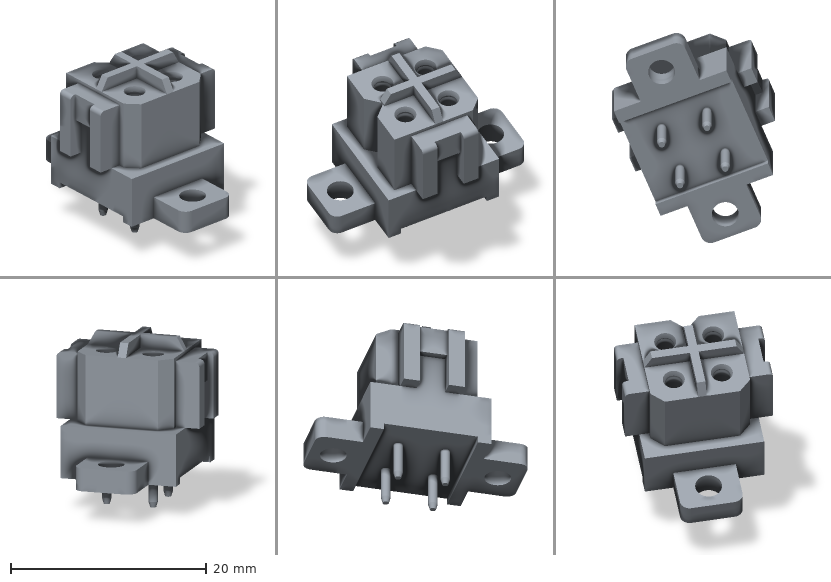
import cadquery as cq


flange_length = 22.5
flange_width = 6.5
flange_height = 2.43
flange_corner_radius = 1.0
mount_hole_diameter = 2.75
mount_hole_spacing = 17.42

base_length = 12.8
base_width = 12.42
base_top = 5.5
relief_length = 9.97
relief_height = 0.68

tower_size = 10.37
tower_top = 12.85
tower_chamfer = 1.28
groove_half_width = 1.46
groove_root_radius = 0.22

key_width = 0.9
key_top = 14.25
key_end_run = 0.79
short_end_inset = 1.33
short_end_lip = 0.2

latch_length = 6.45
latch_span = 15.4
latch_top = 12.42
latch_edge_radius = 0.47
latch_gap = 3.04
catch_span = 14.05
catch_bottom = 9.47

contact_pitch = 5.0
funnel_mouth_radius = 1.12
funnel_throat_radius = 0.9
funnel_depth = 0.52
throat_length = 0.1
barrel_radius = 1.15
barrel_recess = 0.95
bore_radius = 0.88
bore_lip_radius = 0.2
tail_radius = 0.5
tail_tip_radius = 0.32
tail_tip_length = 0.6
tail_end = -3.26

barrel_top = tower_top - barrel_recess
tail_shoulder = tail_end + tail_tip_length
contact_points = [(x * contact_pitch / 2, y * contact_pitch / 2) for x in (-1, 1) for y in (-1, 1)]


def block(length, width, bottom, top):
    """Box centred on the Z axis between two heights."""
    return cq.Workplane("XY").workplane(offset=bottom).rect(length, width).extrude(top - bottom)


def make_flange():
    flange = block(flange_length, flange_width, 0, flange_height).edges("|Z").fillet(flange_corner_radius)
    holes = (
        cq.Workplane("XY")
        .rarray(mount_hole_spacing, 0.22, 2, 1)
        .circle(mount_hole_diameter / 2)
        .extrude(flange_height)
    )
    return flange.cut(holes)


def make_base():
    """Base block and flange, with a relief across the underside between the two end feet."""
    relief = block(relief_length, base_width, 0, relief_height)
    return block(base_length, base_width, 0, base_top).union(make_flange()).cut(relief)


def make_tower():
    half = tower_size / 2
    tower = block(tower_size, tower_size, base_top, tower_top)
    tower = tower.edges("|Z and >X").chamfer(tower_chamfer)
    groove = (
        cq.Workplane("XY")
        .workplane(offset=base_top)
        .polyline([(-half, -groove_half_width), (groove_half_width - half, 0), (-half, groove_half_width)])
        .close()
        .extrude(tower_top - base_top)
        .edges("|Z and >X")
        .fillet(groove_root_radius)
    )
    return tower.cut(groove)


def make_key_bar(plane, start, end, start_lip=0):
    """Bar along the plane's horizontal axis with sloping ends and an optional upright lip at its start."""
    outline = [
        (end, tower_top),
        (end - key_end_run, key_top),
        (start + key_end_run, key_top),
        (start, tower_top + start_lip),
    ]
    if start_lip > 0:
        outline.append((start, tower_top))
    return cq.Workplane(plane).polyline(outline).close().extrude(key_width / 2, both=True)


def make_key():
    half = tower_size / 2
    bar_along_x = make_key_bar("XZ", short_end_inset - half, half, short_end_lip)
    bar_along_y = make_key_bar("YZ", -half, half)
    return bar_along_x.union(bar_along_y)


def make_latches():
    """Both latch blocks, as one bar through the tower that ends in two prongs on each side."""
    bar = block(latch_length, latch_span, base_top, latch_top)
    bar = bar.edges("|X and >Z").fillet(latch_edge_radius)
    prongs = bar.cut(block(latch_gap, latch_span, base_top, latch_top))
    web = block(latch_gap, base_width, base_top, latch_top)
    catch = block(latch_gap, catch_span, catch_bottom, latch_top)
    return prongs.union(web).union(catch)


def make_cavity():
    """Contact cavity: a straight hole for the barrel, narrowed to a throat below its entry funnel."""
    funnel_bottom = tower_top - funnel_depth
    throat_bottom = funnel_bottom - throat_length
    profile = [
        (0, relief_height),
        (barrel_radius, relief_height),
        (barrel_radius, throat_bottom),
        (funnel_throat_radius, throat_bottom),
        (funnel_throat_radius, funnel_bottom),
        (funnel_mouth_radius, tower_top),
        (0, tower_top),
    ]
    return cq.Workplane("XZ").polyline(profile).close().revolve(360, (0, 0), (0, 1))


def make_housing():
    body = make_base().union(make_tower()).union(make_latches()).union(make_key())
    cavity = make_cavity()
    for x, y in contact_points:
        body = body.cut(cavity.translate((x, y, 0)))
    return body


def make_contact():
    """Socket barrel with a rounded bore mouth and a solder tail with a tapered tip."""
    profile = [
        (0, tail_end),
        (tail_tip_radius, tail_end),
        (tail_radius, tail_shoulder),
        (tail_radius, relief_height),
        (barrel_radius, relief_height),
        (barrel_radius, barrel_top),
        (bore_radius, barrel_top),
        (bore_radius, base_top),
        (0, base_top),
    ]
    contact = cq.Workplane("XZ").polyline(profile).close().revolve(360, (0, 0), (0, 1))
    bore_mouth = cq.selectors.RadiusNthSelector(0)
    return contact.faces(">Z").edges(bore_mouth).fillet(bore_lip_radius)


housing = make_housing().solids()
contact = make_contact().solids()
contacts = [contact.translate((x, y, 0)) for x, y in contact_points]

result = cq.Compound.makeCompound([housing.val(), *[placed.val() for placed in contacts]])